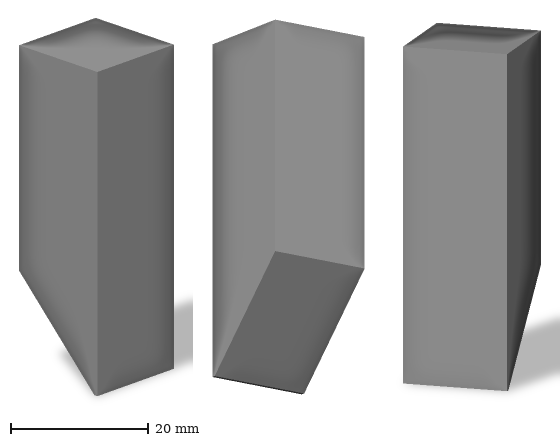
import cadquery as cq

side = 15.95
height = 50.5
tip_width = 0.6
bevel_width = side - tip_width
bevel_height = bevel_width

bar = cq.Workplane("XY").box(side, side, height)

bevel = (
    cq.Workplane("XZ", origin=(-side / 2, 0, -height / 2))
    .polyline([(0, 0), (bevel_width, 0), (0, bevel_height)])
    .close()
    .extrude(side / 2, both=True)
)

result = bar.cut(bevel)